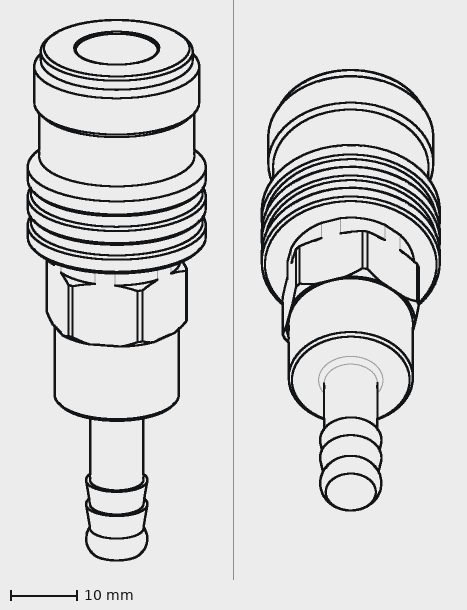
import cadquery as cq
import math

total_height = 82.5

lip_diameter = 23.0
lip_chamfer = 0.5
lip_bottom_z = 80.5
head_diameter = 25.0
head_bottom_z = 73.6
waist_diameter = 23.5
grip_diameter = 27.0
grip_top_z = 63.0
groove_diameter = 26.0
rib_count = 3
rib_pitch = 4.7
rib_height = 2.0
lowest_rib_z = 51.5

recess_diameter = 12.9
recess_depth = 0.25

hex_sides = 6
hex_across_flats = 19.0
hex_corner_diameter = 21.45
hex_neck_diameter = 19.2
hex_foot_diameter = 19.55
hex_bottom_z = 37.6
hex_top_z = 47.6
hex_top_slope = 30.0
hex_bottom_slope = 45.0

collar_diameter = 18.8
collar_bottom_z = 25.1
collar_chamfer = 0.5
stem_diameter = 8.1
stem_fillet = 0.8

barb_diameter = 9.3
barb_count = 2
barb_pitch = 4.0
top_barb_z = 11.6
tip_diameter = 9.3
tip_end_diameter = 7.6

lip_radius = lip_diameter / 2
head_radius = head_diameter / 2
waist_radius = waist_diameter / 2
grip_radius = grip_diameter / 2
groove_radius = groove_diameter / 2
collar_radius = collar_diameter / 2
stem_radius = stem_diameter / 2
recess_radius = recess_diameter / 2

flank = grip_radius - groove_radius
sleeve_bottom_z = lowest_rib_z - flank


def revolve_outline(points):
    """Turn a closed outline of (radius, z) points about the Z axis."""
    return cq.Workplane("XZ").polyline(points).close().revolve(360, (0, 0, 0), (0, 1, 0))


def make_sleeve():
    """Head, waist and ribbed grip, with the recess in the top face; every step is a 45 degree slope."""
    outline = [
        (0, sleeve_bottom_z),
        (groove_radius, sleeve_bottom_z),
    ]
    for rib in range(rib_count):
        rib_bottom_z = lowest_rib_z + rib * rib_pitch
        outline.append((grip_radius, rib_bottom_z))
        if rib < rib_count - 1:
            rib_top_z = rib_bottom_z + rib_height
            next_rib_z = rib_bottom_z + rib_pitch
            outline.append((grip_radius, rib_top_z))
            outline.append((groove_radius, rib_top_z + flank))
            outline.append((groove_radius, next_rib_z - flank))
    outline += [
        (grip_radius, grip_top_z),
        (waist_radius, grip_top_z + grip_radius - waist_radius),
        (waist_radius, head_bottom_z - (head_radius - waist_radius)),
        (head_radius, head_bottom_z),
        (head_radius, lip_bottom_z - (head_radius - lip_radius)),
        (lip_radius, lip_bottom_z),
        (lip_radius, total_height - lip_chamfer),
        (lip_radius - lip_chamfer, total_height),
        (recess_radius, total_height),
        (recess_radius - recess_depth, total_height - recess_depth),
        (0, total_height - recess_depth),
    ]
    return revolve_outline(outline)


def make_hex_section():
    """Hexagonal prism trimmed by a turned envelope: chamfered corners and a rounded neck above."""
    corner_radius = hex_corner_diameter / 2
    neck_radius = hex_neck_diameter / 2
    foot_radius = hex_foot_diameter / 2
    top_drop = (corner_radius - neck_radius) * math.tan(math.radians(hex_top_slope))
    bottom_rise = (corner_radius - foot_radius) * math.tan(math.radians(hex_bottom_slope))
    envelope = revolve_outline([
        (0, hex_bottom_z),
        (foot_radius, hex_bottom_z),
        (corner_radius, hex_bottom_z + bottom_rise),
        (corner_radius, hex_top_z - top_drop),
        (neck_radius, hex_top_z),
        (neck_radius, sleeve_bottom_z),
        (0, sleeve_bottom_z),
    ])
    prism = (
        cq.Workplane("XY", origin=(0, 0, hex_bottom_z))
        .polygon(hex_sides, hex_across_flats, circumscribed=True)
        .extrude(sleeve_bottom_z - hex_bottom_z)
    )
    return prism.intersect(envelope)


def make_collar_and_tail():
    """Collar, filleted stem, saw-tooth hose barbs and a tip bulging out as an arc."""
    barb_radius = barb_diameter / 2
    tip_top_z = top_barb_z - barb_count * barb_pitch
    fillet_bottom_z = collar_bottom_z - stem_fillet
    fillet_offset = stem_fillet * (1 - math.sqrt(0.5))
    outline = (
        cq.Workplane("XZ")
        .moveTo(0, hex_bottom_z)
        .lineTo(collar_radius, hex_bottom_z)
        .lineTo(collar_radius, collar_bottom_z + collar_chamfer)
        .lineTo(collar_radius - collar_chamfer, collar_bottom_z)
        .lineTo(stem_radius + stem_fillet, collar_bottom_z)
        .threePointArc(
            (stem_radius + fillet_offset, collar_bottom_z - fillet_offset),
            (stem_radius, fillet_bottom_z),
        )
        .lineTo(stem_radius, top_barb_z)
    )
    for barb in range(barb_count):
        barb_top_z = top_barb_z - barb * barb_pitch
        outline = outline.lineTo(barb_radius, barb_top_z).lineTo(stem_radius, barb_top_z - barb_pitch)
    outline = (
        outline
        .threePointArc((tip_diameter / 2, tip_top_z / 2), (tip_end_diameter / 2, 0))
        .lineTo(0, 0)
        .close()
    )
    return outline.revolve(360, (0, 0, 0), (0, 1, 0))


result = make_sleeve().union(make_hex_section()).union(make_collar_and_tail())